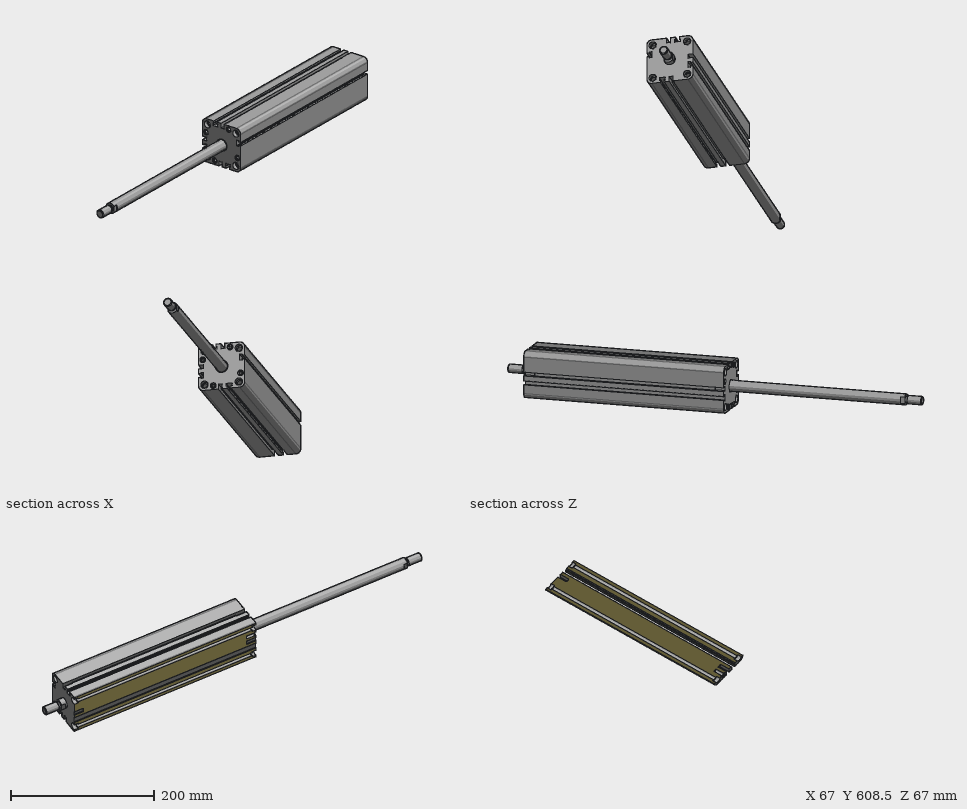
import cadquery as cq

body_width = 67.0
body_length = 294.0
cap_length = 14.5
body_corner_radius = 7.0
total_length = 608.5

bolt_offset = 25.0
bolt_hole_diameter = 6.5
bolt_head_diameter = 10.5
bolt_head_depth = 6.0

slot_opening = 5.5
t_slot_depth = 7.0
t_slot_offset = -11.0
t_slot_inner_width = 8.5
t_slot_lip = 3.5
plain_slot_offset = 2.0
barrel_slot_depth = 5.0
cap_slot_depth = 7.0

sensor_offset = 12.0
sensor_height = 27.5
sensor_counterbore_diameter = 8.0
sensor_counterbore_depth = 2.0
sensor_bore_diameter = 4.0

rod_diameter = 16.0
rod_bore_diameter = 17.5
rod_bore_depth = 2.0
rear_reach = 33.0
thread_diameter = 12.0
thread_length = 21.0
thread_chamfer = 1.0
neck_diameter = 10.0
neck_length = 3.0
flat_width = 13.0
flat_length = 6.0

front_reach = total_length - body_length - rear_reach
half_width = body_width / 2


def prism(width, height, x, z, start=0.0, length=body_length):
    """Box running along Y, centred on (x, z) in cross-section."""
    return cq.Workplane("XY").box(width, length, height).translate((x, start + length / 2, z))


def cylinder(diameter, x, z, start, length):
    """Cylinder running along +Y from start."""
    return cq.Workplane(cq.Solid.makeCylinder(
        diameter / 2, length, cq.Vector(x, start, z), cq.Vector(0, 1, 0)))


def top_slot(offset, depth, start=0.0, length=body_length):
    return prism(slot_opening, depth, offset, half_width - depth / 2, start, length)


def t_slot():
    inner_height = t_slot_depth - t_slot_lip
    inner_z = half_width - t_slot_depth + inner_height / 2
    return top_slot(t_slot_offset, t_slot_depth).union(
        prism(t_slot_inner_width, inner_height, t_slot_offset, inner_z))


def plain_slot():
    """Slot that is deeper in the two end caps than in the barrel between them."""
    slot = top_slot(plain_slot_offset, barrel_slot_depth)
    for start in (0, body_length - cap_length):
        slot = slot.union(top_slot(plain_slot_offset, cap_slot_depth, start, cap_length))
    return slot


def sensor_bore():
    """Blind bore with a shallow counterbore in the front cap."""
    counterbore = cylinder(
        sensor_counterbore_diameter, sensor_offset, sensor_height, 0, sensor_counterbore_depth)
    return counterbore.union(cylinder(sensor_bore_diameter, sensor_offset, sensor_height, 0, cap_length))


def quarter_turns(shape, turns):
    return [shape.rotate((0, 0, 0), (0, 1, 0), -90 * turn) for turn in turns]


def make_body():
    body = prism(body_width, body_width, 0, 0).edges("|Y").fillet(body_corner_radius)
    cuts = quarter_turns(t_slot(), range(4))
    cuts += quarter_turns(plain_slot(), (0, 1, 2))
    cuts += quarter_turns(sensor_bore(), range(4))
    for x in (-bolt_offset, bolt_offset):
        for z in (-bolt_offset, bolt_offset):
            cuts.append(cylinder(bolt_hole_diameter, x, z, 0, body_length))
            cuts.append(cylinder(bolt_head_diameter, x, z, 0, bolt_head_depth))
            cuts.append(cylinder(bolt_head_diameter, x, z, body_length - bolt_head_depth, bolt_head_depth))
    cuts.append(cylinder(rod_bore_diameter, 0, 0, 0, rod_bore_depth))
    for cut in cuts:
        body = body.cut(cut)
    return body


def make_rod():
    front_tip = -front_reach
    rear_tip = body_length + rear_reach
    thread = cylinder(thread_diameter, 0, 0, front_tip, total_length)
    rod = thread.faces("<Y or >Y").chamfer(thread_chamfer)
    end_length = thread_length + neck_length
    rod = rod.union(cylinder(rod_diameter, 0, 0, front_tip + end_length, total_length - 2 * end_length))
    for neck_start in (front_tip + thread_length, rear_tip - end_length):
        ring = cylinder(rod_diameter, 0, 0, neck_start, neck_length)
        rod = rod.cut(ring.cut(cylinder(neck_diameter, 0, 0, neck_start, neck_length)))
    for flat_start in (front_tip + end_length, rear_tip - end_length - flat_length):
        for side in (-1, 1):
            rod = rod.cut(prism(rod_diameter, rod_diameter, side * (flat_width + rod_diameter) / 2, 0,
                                flat_start, flat_length))
    return rod


result = make_body().union(make_rod())